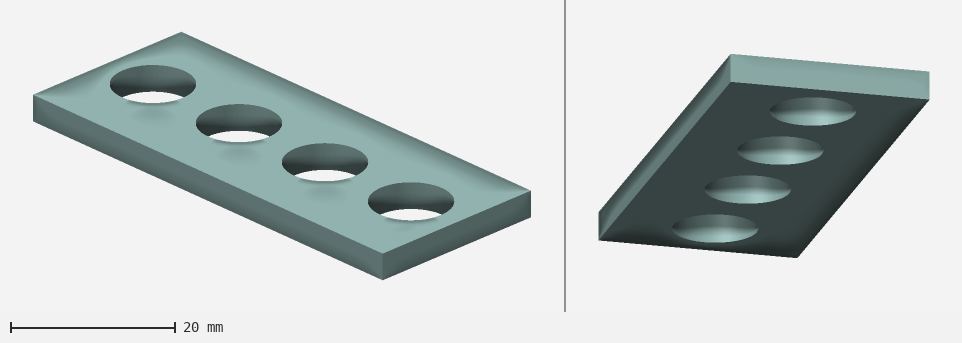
import cadquery as cq

length = 61.0
width = 25.0
thickness = 3.6

hole_count = 4
hole_diameter = 10.5
hole_pitch = 15.0

plate = cq.Workplane("XY").box(length, width, thickness)

result = (
    plate.faces(">Z")
    .workplane()
    .rarray(hole_pitch, 0.6, hole_count, 1)
    .hole(hole_diameter)
)